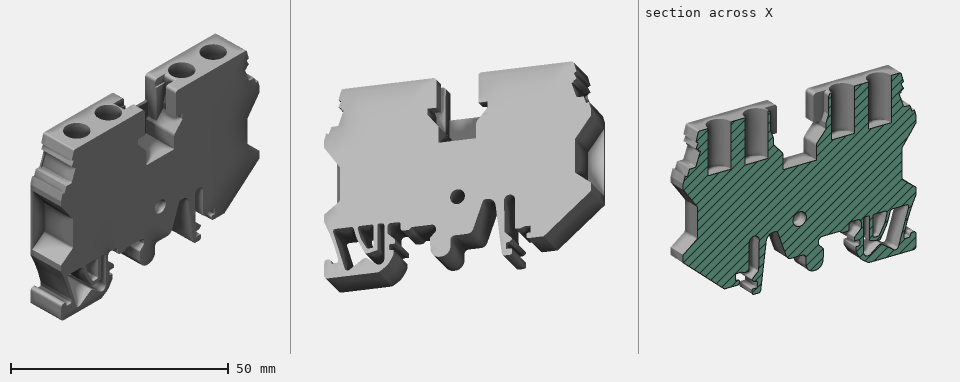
import cadquery as cq
import math

WIDTH = 9.9
LENGTH = 65.0
HEIGHT = 46.0
HALF_WIDTH = WIDTH / 2
HALF_LENGTH = LENGTH / 2

TEST_HOLE_DIAMETER = 3.6
TEST_HOLE_Z = 16.2

WELL_DIAMETER = 6.3
WELL_DEPTH = 12.0
WELL_Y = (12.0, 22.3)

NOTCH_HALF_LENGTH = 5.07
NOTCH_Z = 38.65
NOTCH_TOP_RADIUS = 0.8
NOTCH_BOTTOM_RADIUS = 0.4
NOTCH_WALL = 0.85
POCKET_FLOOR_Z = 30.0
POCKET_FLOOR_HALF_LENGTH = 4.55
POCKET_LIP_Z = 34.0
POCKET_LIP_RADIUS = 1.2
POCKET_SHOULDER_Z = 37.1
POCKET_HALF_LENGTH = 7.25
POCKET_LEFT_X = -1.3

SLOT_WIDTH = 3.4
SLOT_HALF_LENGTH = 8.0
SLOT_SHELF_Z = 43.9
SLOT_RAMP_Z = 40.7

ENTRY_WALL = 0.65
ENTRY_DEPTH = 3.95
ENTRY_TOP_Z = 32.2
ENTRY_INNER_TOP_Z = 26.8
ENTRY_INNER_BOTTOM_Z = 18.7
ENTRY_BOTTOM_Z = 15.7
ENTRY_CORNER_RADIUS = 0.6

LABEL_WALL = 0.45
LABEL_DEPTH = 0.5
LABEL_CORNER_RADIUS = 0.4

SHARP = 0.0

NECK_BOTTOM = (29.5, 37.05)
NECK_TOP = (28.2, 40.75)

SHOULDER = [
    (HALF_LENGTH, 33.7, SHARP),
    (31.95, 35.6, SHARP),
    (31.3, 35.35, SHARP),
    (30.7, 37.05, SHARP),
    (*NECK_BOTTOM, 0.4),
    (*NECK_TOP, 0.4),
    (28.25, 41.2, SHARP),
    (28.95, 41.7, SHARP),
    (28.3, 43.05, SHARP),
    (28.95, 43.4, SHARP),
    (28.2, HEIGHT, 0.5),
]

NOTCH_SIDE = [
    (NOTCH_HALF_LENGTH, HEIGHT, NOTCH_TOP_RADIUS),
    (NOTCH_HALF_LENGTH, NOTCH_Z, NOTCH_BOTTOM_RADIUS),
]

SPRING_FOOT = [
    (-HALF_LENGTH, 14.0, SHARP),
    (-30.25, 9.45, 43.0),
    (-29.1, 4.6, SHARP),
    (-29.1, 3.55, 0.3),
    (-30.65, 3.55, 0.2),
    (-30.8, 4.65, 0.7),
    (-32.35, 4.65, 0.7),
    (-HALF_LENGTH, 1.95, SHARP),
    (-HALF_LENGTH, 0.0, 0.9),
    (-19.2, 0.0, 1.0),
    (-17.0, 1.45, 4.0),
    (-15.55, 3.8, 2.0),
    (-15.6, 5.1, 0.15),
    (-16.65, 5.1, 0.3),
    (-16.65, 6.55, 0.3),
    (-15.2, 6.55, SHARP),
    (-15.2, 7.6, 0.5),
    (-17.06, 9.3, 0.7),
    (-17.06, 11.7, 0.9),
    (-13.8, 11.7, 0.7),
    (-13.8, 9.5, 0.6),
    (-11.75, 9.5, 0.3),
    (-11.1, 10.1, SHARP),
]
CENTRE_LUG = [
    (-5.27, 10.1, 1.0),
    (-5.27, 8.35, 0.2),
    (-6.7, 6.9, 0.3),
    (-6.5, 2.0, 2.3),
    (-1.7, 2.0, 2.3),
    (-1.7, 6.8, 1.0),
    (3.45, 6.8, 1.6),
    (6.3, 14.75, 0.8),
]
LATCH_FINGER = [
    (9.05, 14.75, 2.0),
    (10.85, 0.4, 0.8),
    (13.3, 0.4, 0.6),
    (13.3, 1.97, 0.3),
    (11.8, 1.97, SHARP),
    (11.8, 3.55, 0.3),
    (12.6, 3.55, 0.3),
    (13.45, 4.3, 0.3),
    (11.5, 6.1, 0.4),
    (11.3, 15.15, 1.3),
]
FIXED_FOOT = [
    (14.0, 15.15, 1.3),
    (14.0, 6.65, 0.2),
    (15.3, 6.6, 0.4),
    (16.2, 6.95, SHARP),
    (17.8, 6.95, SHARP),
    (17.8, 5.3, SHARP),
    (16.7, 5.3, 0.5),
    (16.8, 3.95, 0.5),
    (20.97, 3.95, SHARP),
    (HALF_LENGTH, 13.7, SHARP),
]

SPRING_WINDOW = [
    (-17.8, 11.9, 0.6),
    (-19.4, 11.9, 0.3),
    (-19.4, 5.5, 0.2),
    (-21.3, 5.05, SHARP),
    (-22.4, 4.95, SHARP),
    (-24.4, 8.6, 8.0),
    (-25.4, 11.9, 0.6),
    (-30.45, 11.9, 0.5),
    (-27.1, 0.9, 0.8),
    (-22.45, 4.15, 0.9),
    (-17.8, 0.7, 1.2),
]
TONGUE_WINDOW = [
    (-20.4, 11.9, 0.5),
    (-24.4, 11.9, 0.5),
    (-23.6, 8.8, 8.0),
    (-22.0, 6.15, 0.4),
    (-20.4, 6.15, 0.4),
]


def mirrored(corners):
    """The same corners on the -Y side, in reverse order."""
    return [(-y, z, radius) for y, z, radius in reversed(corners)]


def unit_vector(start, end):
    dy = end[0] - start[0]
    dz = end[1] - start[1]
    length = math.hypot(dy, dz)
    return dy / length, dz / length


def corner_arc(before, corner, after):
    """Start, middle and end of the arc that rounds a corner."""
    y, z, radius = corner
    to_before = unit_vector(corner, before)
    to_after = unit_vector(corner, after)
    cosine = to_before[0] * to_after[0] + to_before[1] * to_after[1]
    half_angle = math.acos(cosine) / 2
    setback = radius / math.tan(half_angle)
    start = (y + setback * to_before[0], z + setback * to_before[1])
    end = (y + setback * to_after[0], z + setback * to_after[1])
    bisector = unit_vector((0, 0), (to_before[0] + to_after[0], to_before[1] + to_after[1]))
    reach = radius / math.sin(half_angle) - radius
    middle = (y + reach * bisector[0], z + reach * bisector[1])
    return start, middle, end


def prism(corners, x_from, x_to):
    """Closed YZ outline with rounded corners, extruded from x_from to x_to."""
    sketch = cq.Workplane("YZ", origin=(x_from, 0, 0))
    for index, corner in enumerate(corners):
        before = corners[index - 1]
        after = corners[(index + 1) % len(corners)]
        if corner[2] == SHARP:
            stops = [corner[:2]]
        else:
            stops = corner_arc(before, corner, after)
        if index == 0:
            sketch = sketch.moveTo(*stops[0])
        else:
            sketch = sketch.lineTo(*stops[0])
        if len(stops) > 1:
            sketch = sketch.threePointArc(*stops[1:])
    return sketch.close().extrude(x_to - x_from)


def housing():
    underside = SPRING_FOOT + CENTRE_LUG + LATCH_FINGER + FIXED_FOOT
    top = SHOULDER + NOTCH_SIDE + mirrored(NOTCH_SIDE) + mirrored(SHOULDER)
    body = prism(underside + top, -HALF_WIDTH, HALF_WIDTH)
    for window in (SPRING_WINDOW, TONGUE_WINDOW):
        body = body.cut(prism(window, -HALF_WIDTH, HALF_WIDTH))
    return body


def test_hole():
    plane = cq.Workplane("YZ", origin=(-HALF_WIDTH, 0, TEST_HOLE_Z))
    return plane.circle(TEST_HOLE_DIAMETER / 2).extrude(WIDTH)


def screwdriver_wells():
    centres = [(0, side * y) for y in WELL_Y for side in (-1, 1)]
    plane = cq.Workplane("XY", origin=(0, 0, HEIGHT - WELL_DEPTH))
    return plane.pushPoints(centres).circle(WELL_DIAMETER / 2).extrude(WELL_DEPTH)


def marker_pocket():
    """Straight well between the legs, widening below them with sloped shoulders."""
    mouth_z = NOTCH_Z + NOTCH_BOTTOM_RADIUS
    shoulder_run = POCKET_HALF_LENGTH - POCKET_FLOOR_HALF_LENGTH
    shoulder_slope = (POCKET_SHOULDER_Z - POCKET_LIP_Z) / shoulder_run
    well_foot_z = POCKET_LIP_Z + shoulder_slope * (NOTCH_HALF_LENGTH - POCKET_FLOOR_HALF_LENGTH)
    well_side = [
        (NOTCH_HALF_LENGTH, mouth_z, SHARP),
        (NOTCH_HALF_LENGTH, well_foot_z, SHARP),
        (POCKET_FLOOR_HALF_LENGTH, POCKET_LIP_Z, SHARP),
        (POCKET_FLOOR_HALF_LENGTH, POCKET_FLOOR_Z, SHARP),
    ]
    shoulder_side = [
        (NOTCH_HALF_LENGTH, mouth_z, SHARP),
        (NOTCH_HALF_LENGTH, NOTCH_Z, SHARP),
        (POCKET_HALF_LENGTH, NOTCH_Z, SHARP),
        (POCKET_HALF_LENGTH, POCKET_SHOULDER_Z, SHARP),
        (POCKET_FLOOR_HALF_LENGTH, POCKET_LIP_Z, POCKET_LIP_RADIUS),
        (POCKET_FLOOR_HALF_LENGTH, POCKET_FLOOR_Z, SHARP),
    ]
    well = prism(well_side + mirrored(well_side), -HALF_WIDTH + NOTCH_WALL, POCKET_LEFT_X)
    shoulders = prism(shoulder_side + mirrored(shoulder_side), POCKET_LEFT_X, HALF_WIDTH)
    return well.union(shoulders)


def leg_slots():
    """Slot across the notch, narrowed by a shelf, with ramped ends running into the pocket."""
    clear_y = SLOT_HALF_LENGTH + 2 * NOTCH_TOP_RADIUS
    upper_side = [
        (clear_y, HEIGHT + NOTCH_TOP_RADIUS, SHARP),
        (clear_y, HEIGHT, SHARP),
        (SLOT_HALF_LENGTH, HEIGHT, NOTCH_TOP_RADIUS),
        (SLOT_HALF_LENGTH, SLOT_SHELF_Z, SHARP),
    ]
    lower_side = [
        (SLOT_HALF_LENGTH, SLOT_SHELF_Z, SHARP),
        (SLOT_HALF_LENGTH, SLOT_RAMP_Z, SHARP),
        (POCKET_HALF_LENGTH, NOTCH_Z, SHARP),
    ]
    upper = prism(upper_side + mirrored(upper_side), -SLOT_WIDTH / 2, SLOT_WIDTH / 2)
    lower = prism(lower_side + mirrored(lower_side), POCKET_LEFT_X, SLOT_WIDTH / 2)
    return upper.union(lower)


def wire_entries():
    inner_y = HALF_LENGTH - ENTRY_DEPTH
    corners = [
        (HALF_LENGTH, ENTRY_TOP_Z, SHARP),
        (inner_y, ENTRY_INNER_TOP_Z, SHARP),
        (inner_y, ENTRY_INNER_BOTTOM_Z, ENTRY_CORNER_RADIUS),
        (HALF_LENGTH, ENTRY_BOTTOM_Z, SHARP),
    ]
    left_x = -HALF_WIDTH + ENTRY_WALL
    entry = prism(corners, left_x, HALF_WIDTH)
    return entry.union(prism(mirrored(corners), left_x, HALF_WIDTH))


def label_grooves():
    bottom_y, bottom_z = NECK_BOTTOM
    top_y, top_z = NECK_TOP
    corners = [
        (bottom_y + LABEL_DEPTH, bottom_z, SHARP),
        (top_y + LABEL_DEPTH, top_z, SHARP),
        (top_y - LABEL_DEPTH, top_z, SHARP),
        (bottom_y - LABEL_DEPTH, bottom_z, LABEL_CORNER_RADIUS),
    ]
    left_x = -HALF_WIDTH + LABEL_WALL
    groove = prism(corners, left_x, HALF_WIDTH)
    return groove.union(prism(mirrored(corners), left_x, HALF_WIDTH))


result = housing()
for cut_shape in (test_hole, screwdriver_wells, marker_pocket, leg_slots, wire_entries, label_grooves):
    result = result.cut(cut_shape())